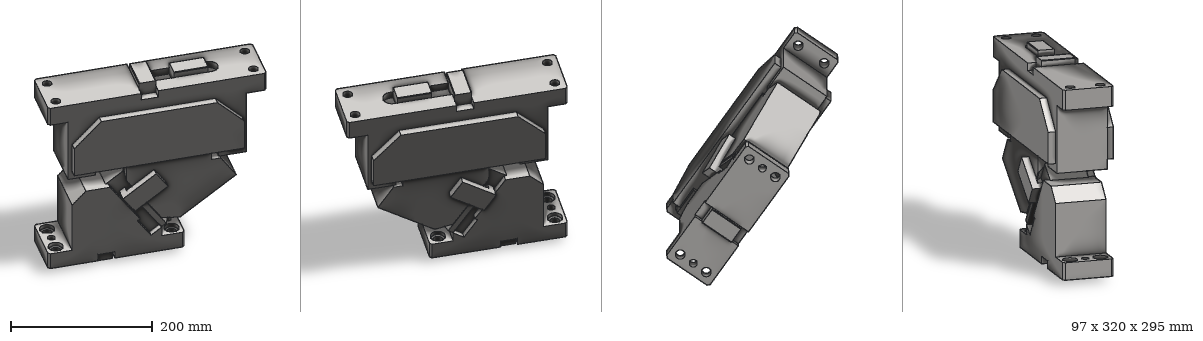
import cadquery as cq
import math

LENGTH = 320.0
BODY_WIDTH = 75.0
OUTER_WIDTH = 97.0
HALF_LENGTH = LENGTH / 2
HALF_WIDTH = BODY_WIDTH / 2
OUTER_HALF = OUTER_WIDTH / 2
CORNER_CHAMFER = 3.2

KEY_LENGTH = 50.0
KEY_WIDTH = 25.0
KEY_DEPTH = 11.0
KEY_PROUD = 9.0
KEY_CHAMFER = 1.0

HOLE_DIAMETER = 13.5
HOLE_SPACING = 44.8
HOLE_INSET = 15.0
BORE_DIAMETER = 21.0
BORE_DEPTH = 6.0
DOWEL_DIAMETER = 11.0

TOP_Z = 277.0
TOP_PLATE = 29.0
TOP_PLATE_Z = TOP_Z - TOP_PLATE
WEB_REAR_Y = 130.2
WEB_FRONT_Y = -131.2
REAR_FOOT_Y = 89.5
REAR_FOOT_Z = 147.0
FRONT_FOOT_Y = -91.0
FRONT_FOOT_Z = 149.0
CEILING_Z = 162.0
SIDE_PLATE_REAR_Y = 124.5
SIDE_PLATE_FRONT_Y = -125.0
SIDE_PLATE_CUT = 39.7
CROSS_KEY_Y = -11.2
LONG_KEY_Y = 56.3
LONG_SLOT_END_Y = 86.5

SLIDER_TOP_Z = 159.7
SLIDER_REAR_Y = 79.5
SLIDER_FRONT_Y = -45.5
SHOULDER_Y = 92.8
SHOULDER_Z = 143.5
SLIDER_NOSE = (115.5, 110.0)
SLIDER_HEEL = (33.0, 52.5)
SLIDER_TRAVEL_FACE = 89.0

SLOPE = 55.0
SLOPE_ORIGIN = (SLIDER_FRONT_Y, 130.0)
ROOF_ANGLE = 30.0
GROOVE_HALF = 35.5
NECK_HALF = 28.5
FLANGE_HALF = 36.5
FLANGE_UNDERSIDE = -9.3
GUIDE_TOP = 11.2
GUIDE_BOTTOM = -103.0
FLANGE_TOP = -18.0
SEAT_HEIGHT = -23.5
POCKET_HEIGHT = -28.0
POCKET_TOP = -68.5

CLIP_TOP = -13.0
CLIP_BOTTOM = -43.5
CLIP_LOW = -19.2
CLIP_HIGH = 40.3

BASE_PLATE = 25.5
BASE_REAR_Y = 40.0
BASE_WEB_REAR_Y = 6.5
BASE_WEB_FRONT_Y = -125.0
BASE_WEB_Z = 124.0
BASE_CUT = 20.0
BASE_KEY_Y = -75.0

COS_SLOPE = math.cos(math.radians(SLOPE))
SIN_SLOPE = math.sin(math.radians(SLOPE))
SLOPE_PLANE = cq.Plane(
    origin=(0, *SLOPE_ORIGIN), xDir=(1, 0, 0), normal=(0, -COS_SLOPE, SIN_SLOPE)
)


def wide_box(half_width, y0, y1, z0, z1):
    """Box that is symmetric about X = 0."""
    block = cq.Workplane("XY").box(2 * half_width, y1 - y0, z1 - z0, centered=False)
    return block.translate((-half_width, y0, z0))


def side_profile(points, half_width=HALF_WIDTH):
    """Outline of (Y, Z) points, extruded symmetrically along X."""
    return cq.Workplane("YZ").polyline(points).close().extrude(half_width, both=True)


def slope_point(along, height):
    """(Y, Z) of a place given in the sloping frame."""
    y = SLOPE_ORIGIN[0] - along * COS_SLOPE + height * SIN_SLOPE
    z = SLOPE_ORIGIN[1] + along * SIN_SLOPE + height * COS_SLOPE
    return (y, z)


def slope_prism(section, bottom, top):
    """Section of (X, height) points, extruded along the slope."""
    prism = cq.Workplane(SLOPE_PLANE).polyline(section).close().extrude(top - bottom)
    return prism.translate((0, -bottom * COS_SLOPE, bottom * SIN_SLOPE))


def roof_height(x):
    """Height of the V-shaped sliding surfaces."""
    return (GROOVE_HALF - abs(x)) * math.tan(math.radians(ROOF_ANGLE))


def roofed_prism(half_width, underside, bottom, top):
    eave = roof_height(half_width)
    section = [
        (-half_width, underside),
        (half_width, underside),
        (half_width, eave),
        (0, roof_height(0)),
        (-half_width, eave),
    ]
    return slope_prism(section, bottom, top)


def mounting_plate(y0, y1, z0, z1):
    return wide_box(HALF_WIDTH, y0, y1, z0, z1).edges("|Z").chamfer(CORNER_CHAMFER)


def key():
    """Key lying along X, seated at Z = -KEY_DEPTH, with its outer long edges chamfered."""
    block = wide_box(KEY_LENGTH / 2, -KEY_WIDTH / 2, KEY_WIDTH / 2, -KEY_DEPTH, KEY_PROUD)
    return block.faces(">Z").edges("|X").chamfer(KEY_CHAMFER)


def cross_slot(y, z0, z1):
    return wide_box(HALF_WIDTH, y - KEY_WIDTH / 2, y + KEY_WIDTH / 2, z0, z1)


def hole_pair(y, diameter, z0, z1):
    places = [(-HOLE_SPACING / 2, y), (HOLE_SPACING / 2, y)]
    return cq.Workplane("XY").workplane(offset=z0).pushPoints(places).circle(diameter / 2).extrude(z1 - z0)


def make_holder():
    """Upper mounting plate, web with two feet, side plates and two keys."""
    plate = mounting_plate(-HALF_LENGTH, HALF_LENGTH, TOP_PLATE_Z, TOP_Z)
    web = side_profile([
        (WEB_REAR_Y, TOP_PLATE_Z),
        (WEB_REAR_Y, REAR_FOOT_Z),
        (REAR_FOOT_Y, REAR_FOOT_Z),
        (REAR_FOOT_Y, CEILING_Z),
        (SLIDER_REAR_Y, CEILING_Z),
        (SLIDER_REAR_Y, SLIDER_TOP_Z),
        (SLIDER_FRONT_Y, SLIDER_TOP_Z),
        (SLIDER_FRONT_Y, CEILING_Z),
        (FRONT_FOOT_Y, CEILING_Z),
        (FRONT_FOOT_Y, FRONT_FOOT_Z),
        (WEB_FRONT_Y, FRONT_FOOT_Z),
        (WEB_FRONT_Y, TOP_PLATE_Z),
    ])
    side_plates = side_profile(
        [
            (SIDE_PLATE_REAR_Y, CEILING_Z),
            (SIDE_PLATE_REAR_Y, TOP_PLATE_Z - SIDE_PLATE_CUT),
            (SIDE_PLATE_REAR_Y - SIDE_PLATE_CUT, TOP_PLATE_Z),
            (SIDE_PLATE_FRONT_Y + SIDE_PLATE_CUT, TOP_PLATE_Z),
            (SIDE_PLATE_FRONT_Y, TOP_PLATE_Z - SIDE_PLATE_CUT),
            (SIDE_PLATE_FRONT_Y, CEILING_Z),
        ],
        OUTER_HALF,
    )
    body = plate.union(web).union(side_plates)

    slot_floor = TOP_Z - KEY_DEPTH
    long_slot = wide_box(KEY_WIDTH / 2, CROSS_KEY_Y, LONG_SLOT_END_Y, slot_floor, TOP_Z)
    slot_end = (
        cq.Workplane("XY").workplane(offset=slot_floor)
        .center(0, LONG_SLOT_END_Y).circle(KEY_WIDTH / 2).extrude(KEY_DEPTH)
    )
    body = body.cut(cross_slot(CROSS_KEY_Y, slot_floor, TOP_Z)).cut(long_slot).cut(slot_end)
    for y in (-HALF_LENGTH + HOLE_INSET, HALF_LENGTH - HOLE_INSET):
        body = body.cut(hole_pair(y, HOLE_DIAMETER, TOP_PLATE_Z, TOP_Z))

    cross_key = key().translate((0, CROSS_KEY_Y, TOP_Z))
    long_key = key().rotate((0, 0, 0), (0, 0, 1), 90).translate((0, LONG_KEY_Y, TOP_Z))
    return body.union(cross_key).union(long_key)


def clip(side):
    """L-shaped clip on one flank (side = -1 or 1) with a foot under the guide flange."""
    section = [
        (side * OUTER_HALF, CLIP_LOW),
        (side * OUTER_HALF, CLIP_HIGH),
        (side * HALF_WIDTH, CLIP_HIGH),
        (side * HALF_WIDTH, FLANGE_UNDERSIDE),
        (side * NECK_HALF, FLANGE_UNDERSIDE),
        (side * NECK_HALF, CLIP_LOW),
    ]
    return slope_prism(section, CLIP_BOTTOM, CLIP_TOP)


def make_slider():
    """Sliding block with a V groove underneath and a clip on each flank."""
    body = side_profile([
        (SLIDER_REAR_Y, SLIDER_TOP_Z),
        (SLIDER_REAR_Y, SHOULDER_Z),
        (SHOULDER_Y, SHOULDER_Z),
        SLIDER_NOSE,
        SLIDER_HEEL,
        slope_point(-SLIDER_TRAVEL_FACE, 0),
        SLOPE_ORIGIN,
        (SLIDER_FRONT_Y, SLIDER_TOP_Z),
    ])
    groove = slope_prism(
        [(-GROOVE_HALF, 0), (GROOVE_HALF, 0), (0, roof_height(0))],
        -LENGTH / 2,
        LENGTH / 2,
    )
    body = body.cut(groove)
    for side in (-1, 1):
        body = body.union(clip(side))
    return body


def make_base():
    """Lower mounting plate, sloping web, roofed guide and one key."""
    plate = mounting_plate(-HALF_LENGTH, BASE_REAR_Y, 0, BASE_PLATE)

    end_height = (BASE_WEB_REAR_Y - slope_point(GUIDE_BOTTOM, 0)[0]) / SIN_SLOPE
    seat_top = (BASE_WEB_Z - slope_point(0, SEAT_HEIGHT)[1]) / SIN_SLOPE
    web = side_profile([
        (BASE_WEB_FRONT_Y, 0),
        (BASE_WEB_FRONT_Y, BASE_WEB_Z - BASE_CUT),
        (BASE_WEB_FRONT_Y + BASE_CUT, BASE_WEB_Z),
        slope_point(seat_top, SEAT_HEIGHT),
        slope_point(POCKET_TOP, SEAT_HEIGHT),
        slope_point(POCKET_TOP, POCKET_HEIGHT),
        slope_point(GUIDE_BOTTOM, POCKET_HEIGHT),
        slope_point(GUIDE_BOTTOM, end_height),
        (BASE_WEB_REAR_Y, 0),
    ])
    neck = roofed_prism(NECK_HALF, POCKET_HEIGHT, GUIDE_BOTTOM, GUIDE_TOP)
    flange = roofed_prism(FLANGE_HALF, FLANGE_UNDERSIDE, GUIDE_BOTTOM, FLANGE_TOP)
    body = plate.union(web).union(neck).union(flange)

    front_y = -HALF_LENGTH + HOLE_INSET
    rear_y = BASE_REAR_Y - HOLE_INSET
    for y in (front_y, rear_y):
        dowel = cq.Workplane("XY").center(0, y).circle(DOWEL_DIAMETER / 2).extrude(BASE_PLATE)
        body = body.cut(hole_pair(y, HOLE_DIAMETER, 0, BASE_PLATE))
        body = body.cut(hole_pair(y, BORE_DIAMETER, BASE_PLATE - BORE_DEPTH, BASE_PLATE))
        body = body.cut(dowel)

    body = body.cut(cross_slot(BASE_KEY_Y, 0, KEY_DEPTH))
    base_key = key().rotate((0, 0, 0), (1, 0, 0), 180).translate((0, BASE_KEY_Y, 0))
    return body.union(base_key)


holder = make_holder()
slider = make_slider()
base = make_base()

result = cq.Compound.makeCompound([holder.solids().val(), slider.solids().val(), base.solids().val()])